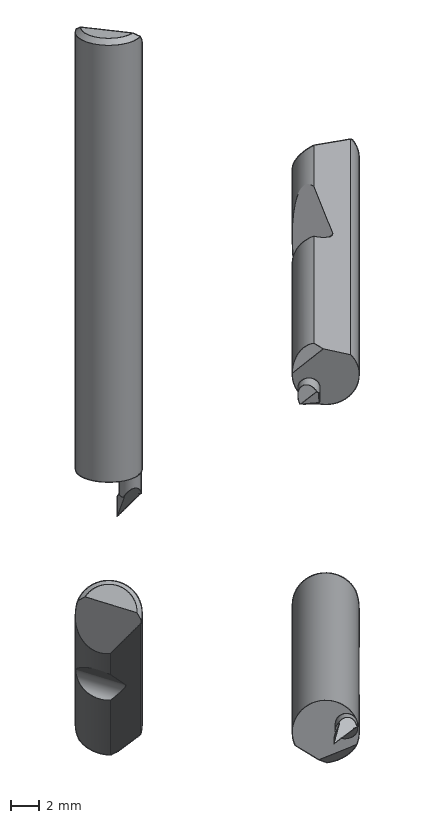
import cadquery as cq
import math

total_length = 37.88
shank_radius = 2.4
shank_bottom = 3.65
top_chamfer = 0.38
bottom_bevel = 0.72

flat_distance = 1.97
flat_angle = 145.0

slope_edge_y = -0.53

notch_top = 29.6
notch_bottom = 20.9
notch_depth = 1.3
notch_floor = 21.97
notch_entry_width = 0.23

neck_radius = 0.8
neck_x = shank_radius - neck_radius
relief_bottom = 1.97

tip_x = 0.6
rake_y = 0.055
blade_top = 1.9
shoulder_start = 1.55
flank_angle = 45.0
lead_angle = 49.0
clearance_slope = 1.4
cutter_size = 4 * shank_radius


def side_prism(points):
    """Prism with a (Y, Z) outline, running right across the part in X."""
    return cq.Workplane("YZ").polyline(points).close().extrude(shank_radius, both=True)


def half_space(origin, normal):
    """Large block filling the side of a plane that its normal points to."""
    plane = cq.Plane(origin=origin, normal=normal)
    return cq.Workplane(plane).rect(cutter_size, cutter_size).extrude(cutter_size)


def make_notch():
    """Long sloping run-out that ends in a concave arc."""
    floor_y = shank_radius - notch_depth
    arc_rise = notch_floor - notch_bottom
    arc_start_y = shank_radius - notch_entry_width
    arc_width = arc_start_y - floor_y
    quarter = math.sqrt(0.5)
    arc_middle = (arc_start_y - arc_width * quarter, notch_floor - arc_rise * quarter)
    return (
        cq.Workplane("YZ")
        .moveTo(shank_radius, notch_top)
        .lineTo(floor_y, notch_floor)
        .threePointArc(arc_middle, (arc_start_y, notch_bottom))
        .lineTo(shank_radius, notch_bottom)
        .close()
        .extrude(shank_radius, both=True)
    )


def make_shank():
    shank = (
        cq.Workplane("XY")
        .workplane(offset=shank_bottom)
        .circle(shank_radius)
        .extrude(total_length - shank_bottom)
        .faces(">Z")
        .chamfer(top_chamfer)
    )
    flat_direction = (math.cos(math.radians(flat_angle)), math.sin(math.radians(flat_angle)))
    flat_centre = tuple(flat_distance * part for part in flat_direction)
    flat_height = (shank_bottom + total_length) / 2
    flat_plane = cq.Plane(origin=(*flat_centre, flat_height), normal=(*flat_direction, 0))
    flat = cq.Workplane(flat_plane).rect(2 * total_length, 2 * total_length).extrude(shank_radius)
    slope_drop = shank_radius - slope_edge_y
    top_slope = side_prism([
        (slope_edge_y, total_length),
        (shank_radius, total_length),
        (shank_radius, total_length - slope_drop),
    ])
    bevel = side_prism([
        (shank_radius - bottom_bevel, shank_bottom),
        (shank_radius, shank_bottom),
        (shank_radius, shank_bottom + bottom_bevel),
    ])
    return shank.cut(flat).cut(top_slope).cut(bevel).cut(make_notch())


def make_neck_and_blade():
    neck = cq.Workplane("XY").center(neck_x, 0).circle(neck_radius).extrude(shank_bottom)
    blade_depth = neck_radius + rake_y
    nose = (
        cq.Workplane("XZ", origin=(0, rake_y, 0))
        .polyline([
            (tip_x, 0),
            (neck_x, 0),
            (neck_x, blade_top),
            (neck_x - neck_radius, blade_top),
            (tip_x, shoulder_start),
        ])
        .close()
        .extrude(blade_depth)
    )
    flank_slope = math.tan(math.radians(flank_angle))
    flank = (
        cq.Workplane("XY", origin=(0, rake_y, 0))
        .polyline([
            (tip_x, 0),
            (tip_x + blade_depth / flank_slope, -blade_depth),
            (0, -blade_depth),
            (0, 0),
        ])
        .close()
        .extrude(blade_top)
    )
    back_relief = side_prism([
        (rake_y, 0),
        (rake_y, relief_bottom),
        (shank_radius, relief_bottom + shank_radius - rake_y),
        (shank_radius, 0),
    ])
    lead_slope = math.tan(math.radians(lead_angle))
    end_clearance = half_space((tip_x, rake_y, 0), (lead_slope, -clearance_slope, -1))
    return neck.union(nose).cut(flank).cut(back_relief).cut(end_clearance)


result = make_shank().union(make_neck_and_blade())